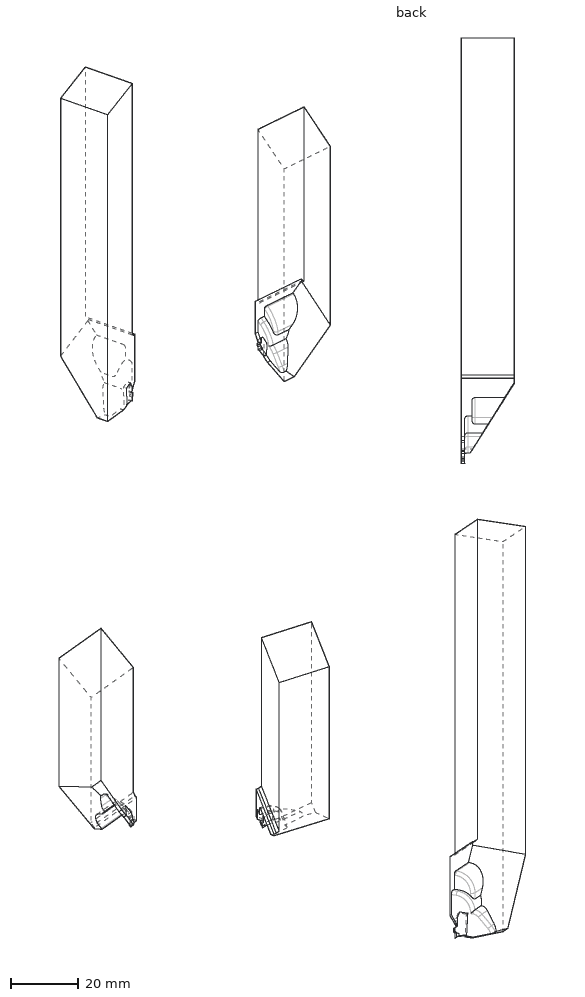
import cadquery as cq

length = 127.0
shank_size = 15.9
head_height = 17.5
head_shoulder_z = 25.4
shoulder_rise = 0.1
shoulder_foot_y = 16.8
shoulder_run = shoulder_foot_y - shank_size

heel_z = 4.3
sole_z = 0.9
sole_start_y = 10.2
jaw_top_z = 6.9

bevel_top_z = 23.9
bevel_reach_x = 15.1
bevel_lift = 0.4

blade_x = 14.9
upper_floor_x = 12.7
floor_fillet = 1.0
upper_center = (17.1, 13.7)
upper_radius = 6.0
lower_center = (shank_size, 8.5)
lower_radius = 5.7
lower_bottom_z = 5.1
sloped_top = (10.3, 9.1)
slope_start = (7.9, 8.1)
slope_length = 3.2
slope_end = (slope_start[0] - slope_length, slope_start[1] - slope_length)
sloped_foot = (3.4, 2.8)
clear = 3.8

insert_heel_top = (12.1, 8.1)
insert_heel_bottom = (12.5, 1.3)
insert_back = (14.7, 8.1)
insert_bend = (15.5, 6.4)
insert_neck = (15.5, 3.5)
jaw_tip = (insert_neck[0], 4.0)
nose_y = 16.3
nose_top_z = 3.0
nose_bottom_z = 1.9
edge_y = shank_size
edge_top_z = 1.5
relief_end = (15.0, 0.6)
tip_flare = 0.06
tip_flare_start = (15.0, 1.3)


def plate(outline, x_start, x_end):
    """Extrude a closed (y, z) outline from x_start to x_end."""
    return outline.extrude(x_end - x_start).translate((x_start, 0, 0))


def make_insert():
    outline = (
        cq.Workplane("YZ")
        .moveTo(*insert_heel_bottom)
        .lineTo(*insert_heel_top)
        .lineTo(*insert_back)
        .lineTo(*insert_bend)
        .lineTo(*insert_neck)
        .lineTo(nose_y, nose_top_z)
        .lineTo(nose_y, nose_bottom_z)
        .lineTo(edge_y, edge_top_z)
        .lineTo(edge_y, 0)
        .lineTo(*relief_end)
        .close()
    )
    body = plate(outline, blade_x, shank_size)
    return body.union(make_tip_flare())


def make_tip_flare():
    """Thin wedge that widens the cutting tip towards -X, thickest at z = 0."""
    outline = (
        cq.Workplane("YZ")
        .moveTo(edge_y, 0)
        .lineTo(*relief_end)
        .lineTo(*tip_flare_start)
        .lineTo(edge_y, edge_top_z)
        .close()
    )
    tip = plate(outline, blade_x - tip_flare, blade_x)
    taper = (
        cq.Workplane("XZ")
        .polyline([(blade_x, 0), (blade_x - tip_flare, 0), (blade_x, edge_top_z)])
        .close()
        .extrude(-head_height)
    )
    return tip.intersect(taper)


def make_holder_blank():
    outline = (
        cq.Workplane("YZ")
        .moveTo(0, length)
        .lineTo(0, heel_z)
        .lineTo(sole_start_y, sole_z)
        .lineTo(insert_heel_bottom[0], sole_z)
        .lineTo(*insert_heel_bottom)
        .lineTo(*jaw_tip)
        .lineTo(head_height, jaw_top_z)
        .lineTo(head_height, head_shoulder_z)
        .lineTo(shoulder_foot_y, head_shoulder_z + shoulder_rise)
        .lineTo(shank_size, head_shoulder_z + shoulder_rise + shoulder_run)
        .lineTo(shank_size, length)
        .close()
    )
    return plate(outline, 0, shank_size)


def make_bevel_cutter():
    """Wedge under the bevel, swept along Y and rising by bevel_lift."""
    wedge = cq.Wire.makePolygon(
        [
            cq.Vector(0, 0, bevel_top_z),
            cq.Vector(bevel_reach_x, 0, 0),
            cq.Vector(bevel_reach_x, 0, -clear),
            cq.Vector(0, 0, -clear),
        ],
        close=True,
    )
    sweep = cq.Vector(0, head_height, bevel_lift)
    return cq.Workplane(cq.Solid.extrudeLinear(wedge, [], sweep))


def make_pocket(outline, floor_x):
    """Cutter for a pocket sunk from the -X side, rounded where its wall meets the floor."""
    return plate(outline, 0, floor_x).faces(">X").edges().fillet(floor_fillet)


def make_round_pocket(center, radius, bottom_z, floor_x):
    """Pocket with a quarter-round top, open towards +Y."""
    y, z = center
    outline = (
        cq.Workplane("YZ")
        .moveTo(head_height + clear, z + radius)
        .lineTo(y, z + radius)
        .radiusArc((y - radius, z), -radius)
        .lineTo(y - radius, bottom_z)
        .lineTo(head_height + clear, bottom_z)
        .close()
    )
    return make_pocket(outline, floor_x)


def make_sloped_pocket():
    """Pocket with a 45 degree wall, open towards +Y and -Z."""
    outline = (
        cq.Workplane("YZ")
        .moveTo(head_height + clear, sloped_top[1])
        .lineTo(*sloped_top)
        .tangentArcPoint(slope_start, relative=False)
        .lineTo(*slope_end)
        .tangentArcPoint(sloped_foot, relative=False)
        .lineTo(sloped_foot[0], -clear)
        .lineTo(head_height + clear, -clear)
        .close()
    )
    return make_pocket(outline, blade_x)


def make_holder(insert):
    return (
        make_holder_blank()
        .cut(make_bevel_cutter())
        .cut(make_round_pocket(upper_center, upper_radius, lower_center[1], upper_floor_x))
        .cut(make_round_pocket(lower_center, lower_radius, lower_bottom_z, blade_x))
        .cut(make_sloped_pocket())
        .cut(insert)
    )


insert = make_insert()
holder = make_holder(insert)
result = cq.Compound.makeCompound([holder.solids().val(), insert.solids().val()])